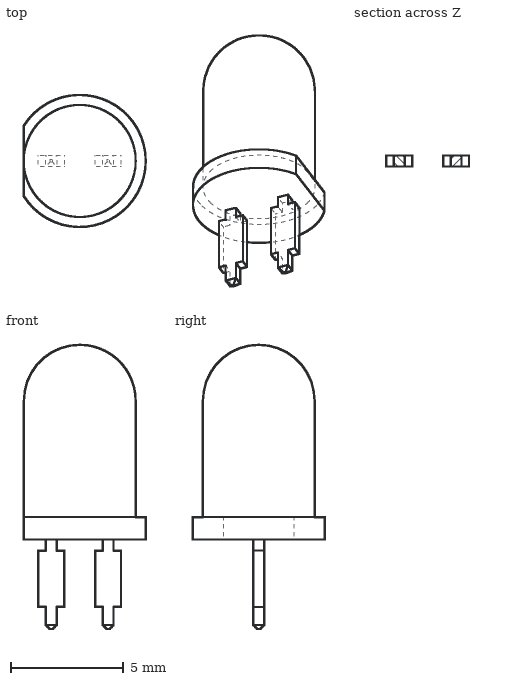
import cadquery as cq

total_height = 12.7
lens_diameter = 5.0
lens_radius = lens_diameter / 2
flange_diameter = 5.9
flange_radius = flange_diameter / 2
flange_thickness = 1.0
flat_x = -lens_radius

lead_length = 4.0
lead_pitch = 2.54
lead_thickness = 0.5
shoulder_width = 1.17
shoulder_top = -0.5
shoulder_bottom = -3.0
tip_chamfer = 0.19

lens_top = total_height - lead_length
dome_base = lens_top - lens_radius


def make_housing():
    """Flange with one flat, carrying a round lens with a hemispherical dome."""
    flange = cq.Workplane("XY").circle(flange_radius).extrude(flange_thickness)
    flange_box = cq.Workplane("XY").box(
        flange_radius - flat_x, flange_diameter, flange_thickness, centered=(False, True, False)
    )
    flange = flange.intersect(flange_box.translate((flat_x, 0, 0)))

    dome_mid = lens_radius * 0.5 ** 0.5
    lens = (
        cq.Workplane("XZ")
        .lineTo(lens_radius, 0)
        .lineTo(lens_radius, dome_base)
        .threePointArc((dome_mid, dome_base + dome_mid), (0, lens_top))
        .close()
        .revolve(360, (0, 0, 0), (0, 1, 0))
    )
    return flange.union(lens)


def make_lead(x):
    """Square lead with a wide flat shoulder and a chamfered tip, centred at the given X."""
    pin = (
        cq.Workplane("XY")
        .rect(lead_thickness, lead_thickness)
        .extrude(-lead_length)
        .faces("<Z")
        .chamfer(tip_chamfer)
    )
    shoulder = (
        cq.Workplane("XY", origin=(0, 0, shoulder_bottom))
        .rect(shoulder_width, lead_thickness)
        .extrude(shoulder_top - shoulder_bottom)
    )
    return pin.union(shoulder).translate((x, 0, 0))


housing = make_housing()
leads = [make_lead(side * lead_pitch / 2) for side in (-1, 1)]

result = cq.Compound.makeCompound([housing.val(), *[lead.val() for lead in leads]])